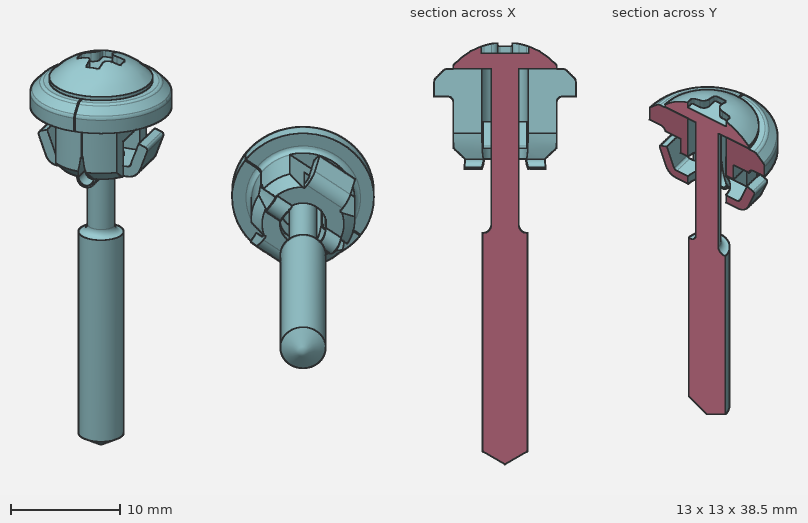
import cadquery as cq
import math


thread_radius = 2.1
tip_angle = 30.0
thread_top_z = 21.2
shank_radius = 1.27
shank_fillet = 0.75
head_radius = 4.75
head_rim_height = 0.35
dome_height = 2.12
dome_peak_z = 38.65

recess_length = 4.3
recess_arm_width = 1.3
recess_depth = 1.05
recess_inner_fillet = 0.6
recess_tip_fillet = 0.2

flange_diameter = 13.0
flange_height = 2.55
flange_chamfer = 1.0
flange_fillet = 0.5
body_radius = 4.75
body_height = 5.7
body_chamfer = 1.0
collar_fillet = 0.5
flat_offset = 3.0
bore_radius = 2.12

hook_thickness = 1.0
hook_width = 4.0
hook_angle = 70.0
hook_bend_x = 3.62
hook_rise = 2.43
hook_bend_radius = 0.3
hook_tip_fillet = 0.3

slit_width = 0.1
throat_width = 0.27
throat_height = 2.35
flare_mid_width = 0.65
hinge_inner_radius = 0.75
hinge_thickness = 0.2

seat_z = dome_peak_z - dome_height - head_rim_height
flange_radius = flange_diameter / 2
flange_bottom_z = seat_z - flange_height
body_bottom_z = flange_bottom_z - body_height
body_bottom_radius = body_radius - body_chamfer
hook_floor_z = body_bottom_z + hook_thickness
hook_tip_z = hook_floor_z + hook_rise
hinge_outer_radius = hinge_inner_radius + hinge_thickness


def turned(profile):
    """Revolve a half profile, drawn in XZ, about the Z axis."""
    return profile.close().revolve(360, (0, 0, 0), (0, 1, 0))


def extruded_along_y(profile, length):
    """Extrude an XZ profile evenly to both sides of the XZ plane."""
    return profile.close().extrude(length / 2, both=True)


def cross_recess():
    """Cutter for the cross recess, from its floor up to the dome peak."""
    floor = cq.Workplane("XY").workplane(offset=dome_peak_z - recess_depth)
    cross = floor.rect(recess_length, recess_arm_width).extrude(recess_depth)
    cross = cross.union(floor.rect(recess_arm_width, recess_length).extrude(recess_depth))
    inner_edges = cq.selectors.BoxSelector(
        (-recess_arm_width, -recess_arm_width, 0),
        (recess_arm_width, recess_arm_width, dome_peak_z),
    )
    cross = cross.edges("|Z").edges(inner_edges).fillet(recess_inner_fillet)
    arm_ends = cross.faces("<X or >X or <Y or >Y")
    return arm_ends.edges("|Z").fillet(recess_tip_fillet)


def make_screw():
    rim_z = seat_z + head_rim_height
    dome_radius = (head_radius**2 + dome_height**2) / (2 * dome_height)
    dome_centre_z = dome_peak_z - dome_radius
    mid_angle = (math.pi / 2 + math.asin((rim_z - dome_centre_z) / dome_radius)) / 2
    dome_mid = (
        dome_radius * math.cos(mid_angle),
        dome_centre_z + dome_radius * math.sin(mid_angle),
    )
    fillet_dip = shank_fillet * (1 - math.sqrt(0.5))

    profile = (
        cq.Workplane("XZ")
        .moveTo(0, 0)
        .lineTo(thread_radius, thread_radius * math.tan(math.radians(tip_angle)))
        .lineTo(thread_radius, thread_top_z)
        .lineTo(shank_radius + shank_fillet, thread_top_z)
        .threePointArc(
            (shank_radius + fillet_dip, thread_top_z + fillet_dip),
            (shank_radius, thread_top_z + shank_fillet),
        )
        .lineTo(shank_radius, seat_z)
        .lineTo(head_radius, seat_z)
        .lineTo(head_radius, rim_z)
        .threePointArc(dome_mid, (0, dome_peak_z))
    )
    return turned(profile).cut(cross_recess())


def flange():
    """Round flange with a rounded bevel around its top."""
    disc = (
        cq.Workplane("XY")
        .workplane(offset=flange_bottom_z)
        .circle(flange_radius)
        .extrude(flange_height)
    )
    disc = disc.faces(">Z").chamfer(flange_chamfer)
    return disc.faces("%CONE").edges("%CIRCLE").fillet(flange_fillet)


def collar():
    """Concave fillet ring between the flange and the round of the body."""
    dip = collar_fillet * (1 - math.sqrt(0.5))
    collar_bottom_z = flange_bottom_z - collar_fillet
    profile = (
        cq.Workplane("XZ")
        .moveTo(0, collar_bottom_z)
        .lineTo(body_radius, collar_bottom_z)
        .threePointArc(
            (body_radius + dip, flange_bottom_z - dip),
            (body_radius + collar_fillet, flange_bottom_z),
        )
        .lineTo(0, flange_bottom_z)
    )
    return turned(profile)


def snap_body():
    """Round body below the flange, with a bevelled lower end and two side flats."""
    body = (
        cq.Workplane("XY")
        .workplane(offset=body_bottom_z)
        .circle(body_radius)
        .extrude(body_height)
        .faces("<Z")
        .chamfer(body_chamfer)
    )
    between_flats = cq.Workplane("XY").box(2 * flat_offset, 2 * body_radius, 2 * flange_bottom_z)
    return body.intersect(between_flats)


def hook():
    """Hook on the +X flat: a strip running out from the bore and bent upwards."""
    angle = math.radians(hook_angle)
    corner_shift = hook_thickness * math.tan(angle / 2)
    tip_inner_x = hook_bend_x + hook_rise / math.tan(angle)
    tip_outer_x = tip_inner_x + hook_thickness * math.sin(angle)
    tip_outer_z = hook_tip_z - hook_thickness * math.cos(angle)
    outer_bend_x = hook_bend_x + corner_shift
    profile = (
        cq.Workplane("XZ")
        .moveTo(bore_radius, body_bottom_z)
        .lineTo(outer_bend_x, body_bottom_z)
        .lineTo(tip_outer_x, tip_outer_z)
        .lineTo(tip_inner_x, hook_tip_z)
        .lineTo(hook_bend_x, hook_floor_z)
        .lineTo(bore_radius, hook_floor_z)
    )
    strip = extruded_along_y(profile, hook_width)
    outer_bend = cq.selectors.NearestToPointSelector((outer_bend_x, 0, body_bottom_z))
    strip = strip.edges("|Y").edges(outer_bend).fillet(hook_bend_radius + hook_thickness)
    inner_bend = cq.selectors.NearestToPointSelector((hook_bend_x, 0, hook_floor_z))
    strip = strip.edges("|Y").edges(inner_bend).fillet(hook_bend_radius)
    outer_tip = cq.selectors.NearestToPointSelector((tip_outer_x, 0, tip_outer_z))
    return strip.edges("|Y").edges(outer_tip).fillet(hook_tip_fillet)


def hook_windows():
    """Cutter for the openings above both hook floors, through the side flats."""
    return (
        cq.Workplane("XY")
        .workplane(offset=hook_floor_z)
        .rect(2 * flat_offset, hook_width)
        .extrude(hook_rise)
    )


def slit():
    """Cutter for the slit in the YZ plane, flared into a drop shape at its lower end."""
    throat_z = body_bottom_z + throat_height
    flare_mid_z = body_bottom_z + throat_height / 2
    straight = (
        cq.Workplane("XY")
        .workplane(offset=body_bottom_z)
        .rect(slit_width, 2 * flange_radius)
        .extrude(flange_height + body_height)
    )
    flare = (
        cq.Workplane("XZ")
        .moveTo(-hinge_inner_radius, body_bottom_z)
        .threePointArc((-flare_mid_width / 2, flare_mid_z), (-throat_width / 2, throat_z))
        .lineTo(throat_width / 2, throat_z)
        .threePointArc((flare_mid_width / 2, flare_mid_z), (hinge_inner_radius, body_bottom_z))
    )
    return straight.union(extruded_along_y(flare, 2 * flange_radius))


def hinges():
    """Half-round film hinges under the body, one on each side of the bore."""
    trough = (
        cq.Workplane("XZ")
        .moveTo(-hinge_outer_radius, body_bottom_z)
        .threePointArc((0, body_bottom_z - hinge_outer_radius), (hinge_outer_radius, body_bottom_z))
        .lineTo(hinge_inner_radius, body_bottom_z)
        .threePointArc((0, body_bottom_z - hinge_inner_radius), (-hinge_inner_radius, body_bottom_z))
    )
    ring = (
        cq.Workplane("XY")
        .workplane(offset=body_bottom_z - hinge_outer_radius)
        .circle(body_bottom_radius)
        .circle(bore_radius)
        .extrude(hinge_outer_radius)
    )
    return extruded_along_y(trough, 2 * body_bottom_radius).intersect(ring)


def make_retainer():
    bore = cq.Workplane("XY").circle(bore_radius).extrude(seat_z)
    retainer = flange().union(collar()).union(snap_body())
    retainer = retainer.cut(hook_windows())
    for turn in (0, 180):
        retainer = retainer.union(hook().rotate((0, 0, 0), (0, 0, 1), turn))
    retainer = retainer.cut(bore).cut(slit())
    return retainer.union(hinges())


screw = make_screw()
retainer = make_retainer()
result = cq.Compound.makeCompound([screw.val(), retainer.val()])